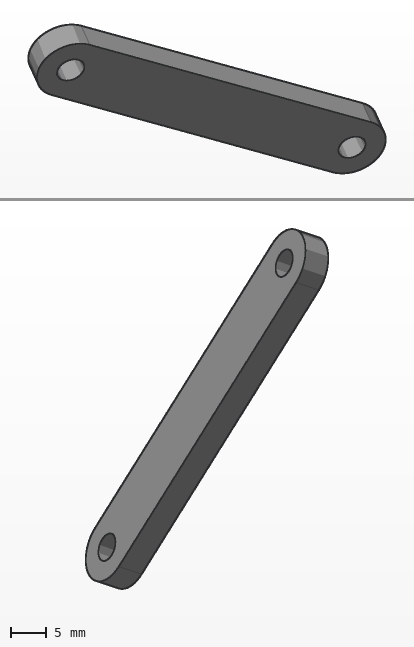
import cadquery as cq
import math

length_y = 51.45
height_z = 37.95
thickness = 4.0

end_radius = 5.0
hole_diameter = 4.0

span_y = length_y - 2 * end_radius
span_z = height_z - 2 * end_radius
pivot_spacing = math.hypot(span_y, span_z)
tilt = math.degrees(math.atan2(span_z, span_y))

bar = (
    cq.Workplane("YZ")
    .slot2D(pivot_spacing + 2 * end_radius, 2 * end_radius)
    .extrude(thickness / 2, both=True)
)

pivot_holes = (
    cq.Workplane("YZ")
    .pushPoints([(-pivot_spacing / 2, 0), (pivot_spacing / 2, 0)])
    .circle(hole_diameter / 2)
    .extrude(thickness / 2, both=True)
)

result = bar.cut(pivot_holes).rotate((0, 0, 0), (1, 0, 0), -tilt)